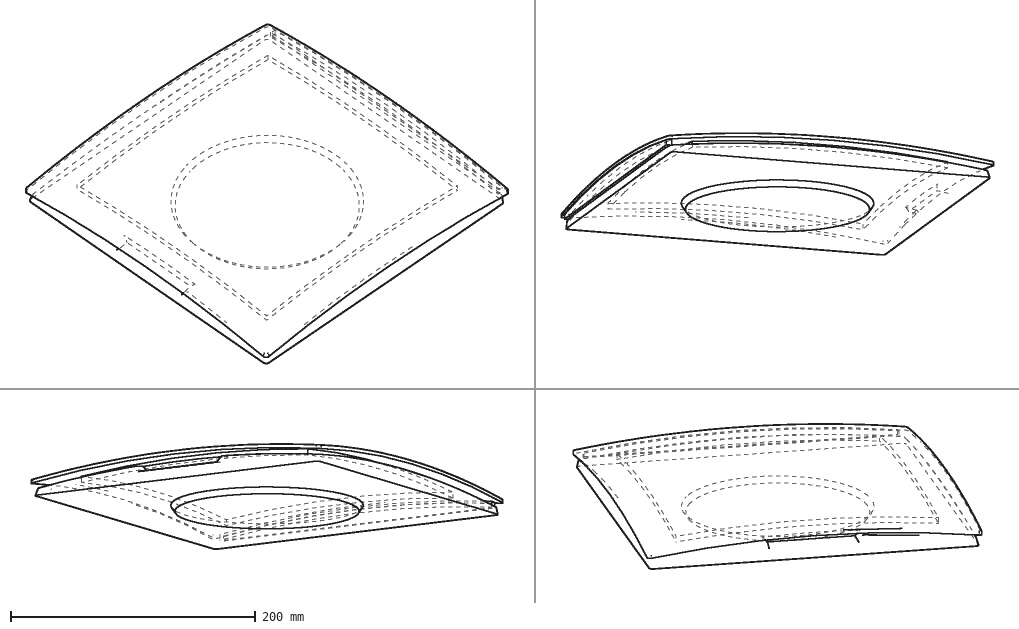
import cadquery as cq
import math

TOTAL_HEIGHT = 37.82

SPIGOT_HEIGHT = 5.0
SPIGOT_TOP_RADIUS = 78.8
SPIGOT_DRAFT = 34.0
SPIGOT_BOTTOM_RADIUS = SPIGOT_TOP_RADIUS - SPIGOT_HEIGHT * math.tan(math.radians(SPIGOT_DRAFT))

COVER_WIDTH = 281.0
COVER_DEPTH = 281.17
COVER_CORNER_RADIUS = 3.0
COVER_RIM_FILLET = 1.2
COVER_THICKNESS = 3.0
COVER_APEX = TOTAL_HEIGHT - SPIGOT_HEIGHT
COVER_DOME_RADIUS = 1000.0
COVER_INNER_APEX = COVER_APEX - COVER_THICKNESS
COVER_INNER_RADIUS = COVER_DOME_RADIUS - COVER_THICKNESS

SHADOW_GAP = 4.8
BASE_HALF = 138.2
BASE_BACK = 137.2
BASE_DRAFT = 14.3
BASE_CORNER_RADIUS = 3.3
BASE_RIM_FILLET = 1.0
BASE_APEX = COVER_INNER_APEX - SHADOW_GAP
BASE_DOME_RADIUS = COVER_INNER_RADIUS - SHADOW_GAP

CORE_SIZE = 220.0

LIP_BACK = 139.8
LIP_FRONT = 135.0
LIP_BOTTOM = 7.0
LIP_LENGTH = 264.0

NOTCH_BOTTOM_WIDTH = 75.0
NOTCH_FLANK_ANGLE = 45.0
NOTCH_FLOOR = 10.2
NOTCH_DRAFT = 10.0
NOTCH_LIP_FILLET = 1.0
NOTCH_DEPTH = 10.0
NOTCH_TOP = 40.0


def wall_inset(z):
    """Distance a drafted wall of the base has moved inward at height z."""
    return z * math.tan(math.radians(BASE_DRAFT))


def front_wall_y(z):
    """Y of the drafted front wall of the base at height z."""
    return wall_inset(z) - BASE_HALF


def ball(apex, radius):
    """Large sphere whose highest point lies at z = apex on the Z axis."""
    sphere = cq.Solid.makeSphere(radius, cq.Vector(), cq.Vector(1, 0, 0), -90, 90, 360)
    return cq.Workplane(sphere.moved(cq.Location(cq.Vector(0, 0, apex - radius))))


def make_cover():
    """Domed plate of even thickness with rounded corners and upper rim."""
    block = (
        cq.Workplane()
        .rect(COVER_WIDTH, COVER_DEPTH)
        .extrude(COVER_APEX)
        .edges("|Z")
        .fillet(COVER_CORNER_RADIUS)
    )
    domed = block.intersect(ball(COVER_APEX, COVER_DOME_RADIUS))
    rounded = domed.faces("%SPHERE").edges().fillet(COVER_RIM_FILLET)
    return rounded.cut(ball(COVER_INNER_APEX, COVER_INNER_RADIUS))


def make_base():
    """Drafted, domed block with rounded corners and rim and a finger notch in front."""
    overshoot = 2 * wall_inset(BASE_APEX)
    block_depth = 2 * BASE_HALF + overshoot
    drafted = (
        cq.Workplane()
        .center(0, overshoot / 2)
        .rect(2 * BASE_HALF, block_depth)
        .extrude(BASE_APEX, taper=BASE_DRAFT)
    )
    back_limit = (
        cq.Workplane()
        .center(0, BASE_BACK - block_depth / 2)
        .rect(block_depth, block_depth)
        .extrude(BASE_APEX)
    )
    walls = drafted.intersect(back_limit)
    corner_edges = walls.edges("not(#Z or |X or |Y)")
    block = corner_edges.fillet(BASE_CORNER_RADIUS)
    domed = block.intersect(ball(BASE_APEX, BASE_DOME_RADIUS))
    rimmed = domed.faces("%SPHERE").edges().fillet(BASE_RIM_FILLET)
    return round_notch_lip(rimmed.cut(make_notch()))


def make_notch():
    """Cutter for the finger notch: drafted floor and flanks, back parallel to the front wall."""
    rise = NOTCH_TOP - NOTCH_FLOOR
    half_bottom = NOTCH_BOTTOM_WIDTH / 2
    half_top = half_bottom + rise / math.tan(math.radians(NOTCH_FLANK_ANGLE))
    mouth_y = front_wall_y(NOTCH_FLOOR)
    length = NOTCH_DEPTH + wall_inset(rise)
    channel = (
        cq.Workplane("XZ", origin=(0, mouth_y, 0))
        .polyline([
            (-half_bottom, NOTCH_FLOOR),
            (half_bottom, NOTCH_FLOOR),
            (half_top, NOTCH_TOP),
            (-half_top, NOTCH_TOP),
        ])
        .close()
        .extrude(-length, taper=NOTCH_DRAFT)
    )
    back_y = mouth_y + NOTCH_DEPTH
    back_limit = (
        cq.Workplane("YZ")
        .polyline([
            (mouth_y, NOTCH_FLOOR),
            (back_y, NOTCH_FLOOR),
            (back_y + wall_inset(rise), NOTCH_TOP),
            (mouth_y, NOTCH_TOP),
        ])
        .close()
        .extrude(half_top, both=True)
    )
    return channel.intersect(back_limit)


def round_notch_lip(base):
    """Round the floor and flank edges of the notch where they break through the front wall."""
    tolerance = 0.3
    mouth_y = front_wall_y(NOTCH_FLOOR)
    wall_top_y = front_wall_y(BASE_APEX)
    mouth = cq.selectors.BoxSelector(
        (-NOTCH_BOTTOM_WIDTH, mouth_y - tolerance, NOTCH_FLOOR - tolerance),
        (NOTCH_BOTTOM_WIDTH, wall_top_y, BASE_APEX),
    )
    return base.faces("<Y").edges(mouth).fillet(NOTCH_LIP_FILLET)


def make_core():
    """Square block that reaches up to the underside of the cover."""
    core = cq.Workplane().rect(CORE_SIZE, CORE_SIZE).extrude(COVER_APEX)
    return core.intersect(ball(COVER_INNER_APEX, COVER_INNER_RADIUS))


def make_lip():
    """Straight bar that hangs from the cover behind the base."""
    lip = (
        cq.Workplane()
        .workplane(offset=LIP_BOTTOM)
        .center(0, (LIP_FRONT + LIP_BACK) / 2)
        .rect(LIP_LENGTH, LIP_BACK - LIP_FRONT)
        .extrude(COVER_APEX - LIP_BOTTOM)
    )
    return lip.intersect(ball(COVER_INNER_APEX, COVER_INNER_RADIUS))


def make_spigot():
    """Conical disc that narrows away from the base."""
    cone = cq.Solid.makeCone(SPIGOT_BOTTOM_RADIUS, SPIGOT_TOP_RADIUS, SPIGOT_HEIGHT)
    lowered = cone.moved(cq.Location(cq.Vector(0, 0, -SPIGOT_HEIGHT)))
    return cq.Workplane(lowered.rotate(cq.Vector(), cq.Vector(0, 0, 1), -90))


base = make_base().union(make_core())
result = base.union(make_cover()).union(make_lip()).union(make_spigot())